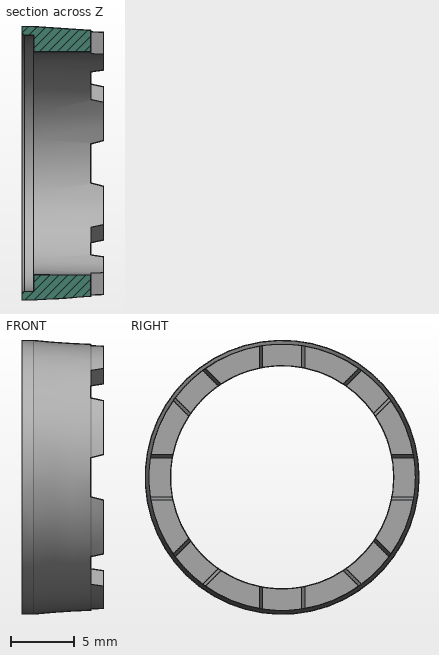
import cadquery as cq

length = 6.4
outer_radius = 10.75
rim_length = 0.92
taper_end_radius = 10.45
bore_radius = 17.5 / 2

seat_radius = 20.1 / 2
mouth_radius = 10.23
mouth_depth = mouth_radius - seat_radius
seat_depth = 0.92

tooth_count = 8
slot_depth = 0.99
slot_floor_width = 3.05
slot_mouth_width = 3.57
slot_floor_x = length - slot_depth


def ring_body():
    """Tapered ring with its bore and stepped seat."""
    profile = (
        cq.Workplane("XY")
        .moveTo(0, mouth_radius)
        .lineTo(0, outer_radius)
        .lineTo(rim_length, outer_radius)
        .lineTo(slot_floor_x, taper_end_radius)
        .lineTo(length, taper_end_radius)
        .lineTo(length, bore_radius)
        .lineTo(seat_depth, bore_radius)
        .lineTo(seat_depth, seat_radius)
        .lineTo(mouth_depth, seat_radius)
        .close()
    )
    return profile.revolve(360, (0, 0, 0), (1, 0, 0))


def slot_cutter():
    """Flared slot running straight across the ring along Z."""
    return (
        cq.Workplane("XY")
        .moveTo(slot_floor_x, -slot_floor_width / 2)
        .lineTo(length, -slot_mouth_width / 2)
        .lineTo(length, slot_mouth_width / 2)
        .lineTo(slot_floor_x, slot_floor_width / 2)
        .close()
        .extrude(outer_radius, both=True)
    )


result = ring_body()
for index in range(tooth_count // 2):
    angle = index * 360 / tooth_count
    result = result.cut(slot_cutter().rotate((0, 0, 0), (1, 0, 0), angle))